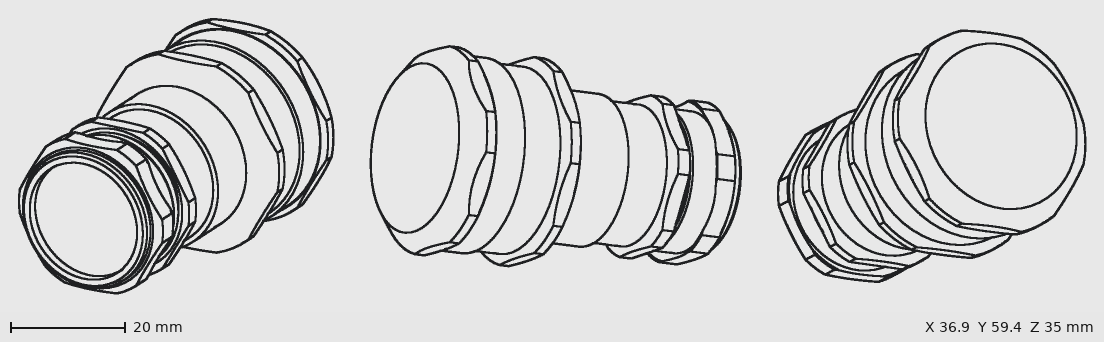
import cadquery as cq
import math

length = 59.35

small_r = 25.0 / 2
collar_r = 13.5
large_r = 16.5
sleeve_r = 17.2
collar_start = 23.85
collar_end = 33.8
sleeve_start = 47.3
sleeve_end = 53.25

end_chamfer = 0.55
bore_r = 10.8
bore_depth = 1.9

groove_start = 10.45
groove_bevel = 0.35
ring_tube_r = 1.0
ring_outer_r = 12.4
ring_center_r = ring_outer_r - ring_tube_r

small_flats = 27.0
small_corner_r = 14.5
large_flats = 35.0
large_corner_r = 18.45
hex_bevel_slope = math.tan(math.radians(30))

nut_start = 1.8
nut_end = 6.3
nut_face_r = 13.0
nut_hollow_r = 14.2

small_hex_start = 11.95
small_hex_bevel = 14.3
ring_seat_r = 13.05

large_hex_end = 39.65

large_nut_face_r = 17.35
large_nut_shoulder = 55.8


def revolve_profile(points):
    """Turn a closed (radius, y) outline about the Y axis."""
    return cq.Workplane("XY").polyline(points).close().revolve(360, (0, 0, 0), (0, 1, 0))


def hexagon(profile, across_flats):
    """Turned profile trimmed to a hexagon with flats facing +Z and -Z."""
    prism = (
        cq.Workplane("XZ")
        .polygon(6, across_flats / math.cos(math.radians(30)))
        .extrude(-length)
    )
    return revolve_profile(profile).intersect(prism)


def make_body():
    bore_end_r = small_r - end_chamfer
    return revolve_profile([
        (0, bore_depth),
        (bore_r, bore_depth),
        (bore_r, 0),
        (bore_end_r, 0),
        (small_r, end_chamfer),
        (small_r, groove_start - groove_bevel),
        (small_r - groove_bevel, groove_start),
        (ring_center_r, groove_start),
        (ring_center_r, small_hex_bevel),
        (small_r, small_hex_bevel),
        (small_r, collar_start),
        (collar_r, collar_start),
        (collar_r, collar_end),
        (collar_r, large_hex_end),
        (large_r, large_hex_end),
        (large_r, sleeve_start),
        (sleeve_r, sleeve_start),
        (sleeve_r, sleeve_end),
        (0, sleeve_end),
    ])


def make_sealing_ring():
    """Outer half of a round ring lying in the groove."""
    ring_center_y = groove_start + ring_tube_r
    return (
        cq.Workplane("XY")
        .moveTo(ring_center_r, groove_start)
        .threePointArc((ring_outer_r, ring_center_y), (ring_center_r, ring_center_y + ring_tube_r))
        .close()
        .revolve(360, (0, 0, 0), (0, 1, 0))
    )


def make_small_nut():
    bevel_len = (small_corner_r - nut_face_r) * hex_bevel_slope
    hollow_depth = nut_hollow_r - small_r
    profile = [
        (bore_r, nut_start),
        (nut_face_r, nut_start),
        (small_corner_r, nut_start + bevel_len),
        (small_corner_r, nut_end),
        (nut_hollow_r, nut_end),
        (small_r, nut_end - hollow_depth),
        (bore_r, nut_end - hollow_depth),
    ]
    return hexagon(profile, small_flats)


def make_small_hex():
    seat_depth = ring_seat_r - ring_center_r
    bevel_len = (small_corner_r - small_r) * hex_bevel_slope
    profile = [
        (0, small_hex_start + seat_depth),
        (ring_center_r, small_hex_start + seat_depth),
        (ring_seat_r, small_hex_start),
        (small_corner_r, small_hex_start),
        (small_corner_r, small_hex_bevel),
        (small_r, small_hex_bevel + bevel_len),
        (0, small_hex_bevel + bevel_len),
    ]
    return hexagon(profile, small_flats)


def make_large_hex():
    taper_len = (large_corner_r - collar_r) * hex_bevel_slope
    bevel_len = (large_corner_r - large_r) * hex_bevel_slope
    profile = [
        (0, collar_end),
        (collar_r, collar_end),
        (large_corner_r, collar_end + taper_len),
        (large_corner_r, large_hex_end - bevel_len),
        (large_r, large_hex_end),
        (0, large_hex_end),
    ]
    return hexagon(profile, large_flats)


def make_large_nut():
    bevel_len = (large_corner_r - large_nut_face_r) * hex_bevel_slope
    rear_face_r = large_corner_r - (length - large_nut_shoulder)
    profile = [
        (0, sleeve_end),
        (large_nut_face_r, sleeve_end),
        (large_corner_r, sleeve_end + bevel_len),
        (large_corner_r, large_nut_shoulder),
        (rear_face_r, length),
        (0, length),
    ]
    return hexagon(profile, large_flats)


result = (
    make_body()
    .union(make_sealing_ring())
    .union(make_small_nut())
    .union(make_small_hex())
    .union(make_large_hex())
    .union(make_large_nut())
)